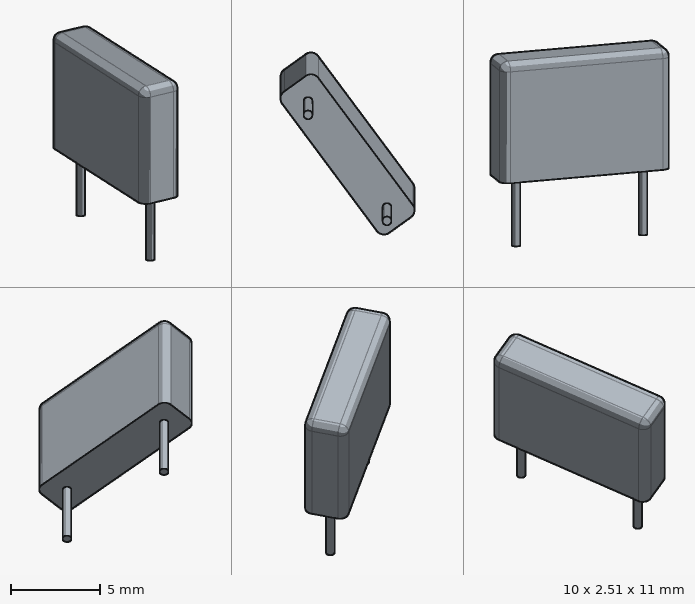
import cadquery as cq

body_length = 10.0
body_depth = 2.51
body_height = 7.0
edge_radius = 0.5

lead_diameter = 0.5
lead_pitch = 7.5
lead_length = 4.0


def make_body():
    """Box standing on Z = 0, rounded on all edges except around its flat base."""
    box = cq.Workplane("XY").box(
        body_length, body_depth, body_height, centered=(True, True, False)
    )
    return box.edges("|Z or >Z").fillet(edge_radius)


def make_leads():
    """Pair of round wires hanging down from the base."""
    half_pitch = lead_pitch / 2
    return (
        cq.Workplane("XY")
        .pushPoints([(-half_pitch, 0), (half_pitch, 0)])
        .circle(lead_diameter / 2)
        .extrude(-lead_length)
    )


result = make_body().union(make_leads())